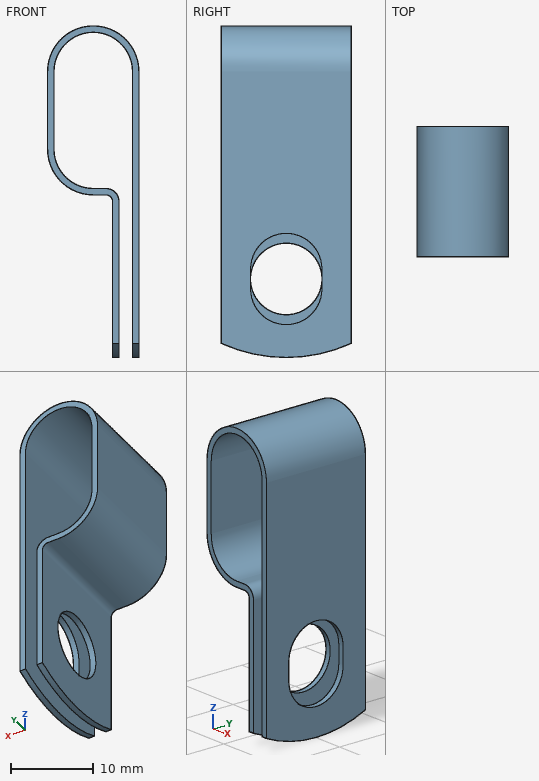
import cadquery as cq

width = 11.15
depth = 15.9
height = 40.45
thickness = 0.8

loop_radius = width / 2
inner_loop_radius = loop_radius - thickness
upper_center_z = height - loop_radius
lower_center_z = 25.4
tab_gap = 1.6
bend_inner_radius = 0.8
bend_outer_radius = bend_inner_radius + thickness

end_rise = 1.75
hole_diameter = 8.7
hole_z = 9.6
slot_travel = 2.43

back_inner_x = inner_loop_radius
front_inner_x = back_inner_x - tab_gap
front_outer_x = front_inner_x - thickness
bend_center_x = front_inner_x - bend_outer_radius

web_bottom_z = lower_center_z - loop_radius
web_top_z = web_bottom_z + thickness
bend_center_z = web_top_z - bend_outer_radius


def arc_to(path, center, radius, end, direction):
    """Add a quarter or half arc whose middle lies in the given direction."""
    length = (direction[0] ** 2 + direction[1] ** 2) ** 0.5
    middle = (
        center[0] + radius * direction[0] / length,
        center[1] + radius * direction[1] / length,
    )
    return path.threePointArc(middle, end)


def bent_strip():
    """Constant-thickness strip bent into a loop with two parallel tabs."""
    upper_center = (0, upper_center_z)
    lower_center = (0, lower_center_z)
    bend_center = (bend_center_x, bend_center_z)

    path = cq.Workplane("XZ").moveTo(loop_radius, 0).lineTo(loop_radius, upper_center_z)
    path = arc_to(path, upper_center, loop_radius, (-loop_radius, upper_center_z), (0, 1))
    path = path.lineTo(-loop_radius, lower_center_z)
    path = arc_to(path, lower_center, loop_radius, (0, web_bottom_z), (-1, -1))
    path = path.lineTo(bend_center_x, web_bottom_z)
    path = arc_to(path, bend_center, bend_inner_radius, (front_outer_x, bend_center_z), (1, 1))
    path = path.lineTo(front_outer_x, 0).lineTo(front_inner_x, 0)

    path = path.lineTo(front_inner_x, bend_center_z)
    path = arc_to(path, bend_center, bend_outer_radius, (bend_center_x, web_top_z), (1, 1))
    path = path.lineTo(0, web_top_z)
    path = arc_to(path, lower_center, inner_loop_radius, (-inner_loop_radius, lower_center_z), (-1, -1))
    path = path.lineTo(-inner_loop_radius, upper_center_z)
    path = arc_to(path, upper_center, inner_loop_radius, (back_inner_x, upper_center_z), (0, 1))
    path = path.lineTo(back_inner_x, 0).close()
    return path.extrude(depth / 2, both=True)


def rounded_end_envelope():
    """Block with an arched lower edge that trims both tab ends."""
    return (
        cq.Workplane("YZ")
        .moveTo(-depth / 2, height)
        .lineTo(-depth / 2, end_rise)
        .threePointArc((0, 0), (depth / 2, end_rise))
        .lineTo(depth / 2, height)
        .close()
        .extrude(loop_radius, both=True)
    )


def front_hole():
    """Round hole through the front tab."""
    return (
        cq.Workplane("YZ", origin=(front_outer_x, 0, hole_z))
        .circle(hole_diameter / 2)
        .extrude(thickness)
    )


def back_slot():
    """Upright slot through the back tab, centered on the round hole."""
    return (
        cq.Workplane("YZ", origin=(back_inner_x, 0, hole_z))
        .slot2D(hole_diameter + slot_travel, hole_diameter, 90)
        .extrude(thickness)
    )


result = bent_strip().intersect(rounded_end_envelope()).cut(front_hole()).cut(back_slot())